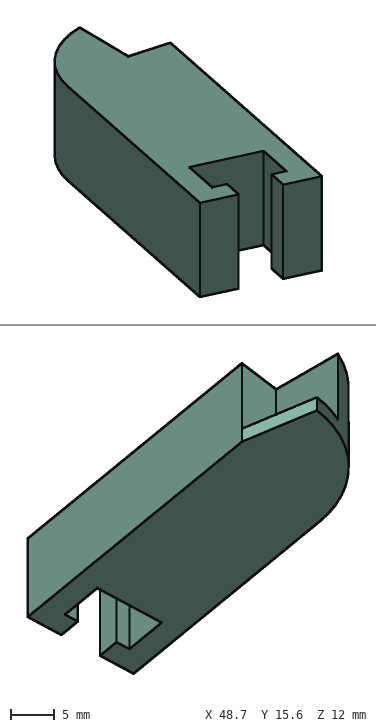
import cadquery as cq
import math

length = 48.65
width = 15.6
height = 12.0

nose_radius = 15.0
tip_y = 12.35
shoulder_x = 9.65

ledge_thickness = 2.0
step_angle = math.radians(10)
step_depth = 6.0

slot_depth = 8.9
slot_width = 9.5
mouth_width = 5.7
lip_thickness = 3.0


def nose_x(y):
    """X of the nose arc at a given Y, with the tip at X = 0."""
    return arc_center_x - math.sqrt(nose_radius**2 - (nose_radius - y) ** 2)


def make_body():
    middle_y = tip_y / 2
    return (
        cq.Workplane("XY")
        .moveTo(arc_center_x, 0)
        .lineTo(length, 0)
        .lineTo(length, width)
        .lineTo(shoulder_x, width)
        .lineTo(0, tip_y)
        .threePointArc((nose_x(middle_y), middle_y), (arc_center_x, 0))
        .close()
        .extrude(height)
    )


def make_step_cut():
    """Corner notch turned by the step angle, open towards the tip."""
    along = (math.cos(step_angle), math.sin(step_angle))
    across = (along[1], -along[0])
    inner_x = shoulder_x + step_depth * across[0]
    inner_y = width + step_depth * across[1]
    reach = length / 2
    return (
        cq.Workplane("XY")
        .workplane(offset=ledge_thickness)
        .moveTo(shoulder_x, width)
        .lineTo(inner_x, inner_y)
        .lineTo(inner_x - reach * along[0], inner_y - reach * along[1])
        .lineTo(shoulder_x - reach * along[0], width)
        .close()
        .extrude(height - ledge_thickness)
    )


def make_slot_cut():
    slot_start = length - slot_depth
    chamber_length = slot_depth - lip_thickness
    chamber = (
        cq.Workplane("XY")
        .center(slot_start + chamber_length / 2, width / 2)
        .rect(chamber_length, slot_width)
        .extrude(height)
    )
    mouth = (
        cq.Workplane("XY")
        .center(slot_start + slot_depth / 2, width / 2)
        .rect(slot_depth, mouth_width)
        .extrude(height)
    )
    return chamber.union(mouth)


arc_center_x = math.sqrt(nose_radius**2 - (nose_radius - tip_y) ** 2)
result = make_body().cut(make_step_cut()).cut(make_slot_cut())